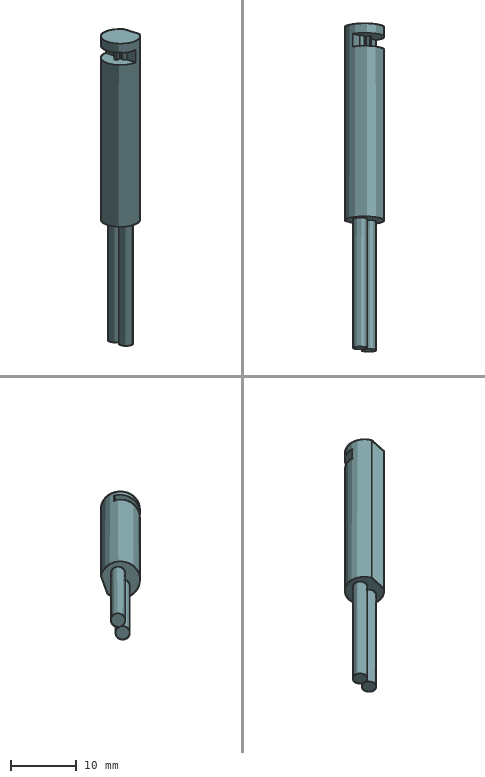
import cadquery as cq

total_length = 50.0
body_length = 30.0
body_radius = 3.0
flat_offset = 2.6

lead_radius = 1.1
lead_offset = 1.095

cap_thickness = 1.5
notch_height = 2.0

pin_radius = 0.5
pin_offset = 0.75
pin_inset = 0.1
bar_width = 0.45
bar_depth = 0.7
bar_back = 0.45

body_bottom = total_length - body_length
notch_bottom = total_length - cap_thickness - notch_height


def make_body():
    """Upright cylinder with one flat along its rear side."""
    cylinder = cq.Workplane("XY", origin=(0, 0, body_bottom)).circle(body_radius).extrude(body_length)
    depth = body_radius + flat_offset
    envelope = cq.Workplane("XY", origin=(0, flat_offset - depth / 2, body_bottom))
    return cylinder.intersect(envelope.rect(2 * body_radius, depth).extrude(body_length))


def make_notch():
    """Cutter that removes everything in front of the body axis."""
    floor = cq.Workplane("XY", origin=(0, -body_radius / 2, notch_bottom))
    return floor.rect(2 * body_radius, body_radius).extrude(notch_height)


def make_notch_contents():
    """Two pins half sunk in the notch wall, with the bar centred in front of them."""
    floor = cq.Workplane("XY", origin=(0, 0, notch_bottom))
    pin_places = [(-pin_offset, pin_inset), (pin_offset, pin_inset)]
    pins = floor.pushPoints(pin_places).circle(pin_radius).extrude(notch_height)
    bar = floor.center(0, -bar_back - bar_depth / 2).rect(bar_width, bar_depth).extrude(notch_height)
    return pins.union(bar)


def make_lead(x):
    """Straight round lead from the free end up to the body."""
    return cq.Workplane("XY").center(x, 0).circle(lead_radius).extrude(body_bottom)


result = make_body().cut(make_notch()).union(make_notch_contents())
for side in (-1, 1):
    result = result.union(make_lead(side * lead_offset))